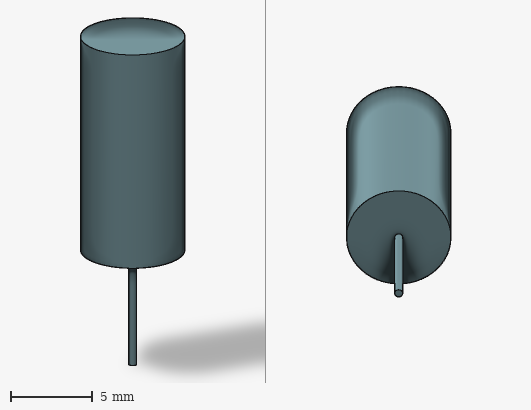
import cadquery as cq

total_height = 21.5
body_diameter = 6.4
body_height = 14.0
lead_diameter = 0.5

lead_length = total_height - body_height

body = cq.Workplane("XY").circle(body_diameter / 2).extrude(body_height)

lead = cq.Workplane("XY").circle(lead_diameter / 2).extrude(-lead_length)

result = body.union(lead)